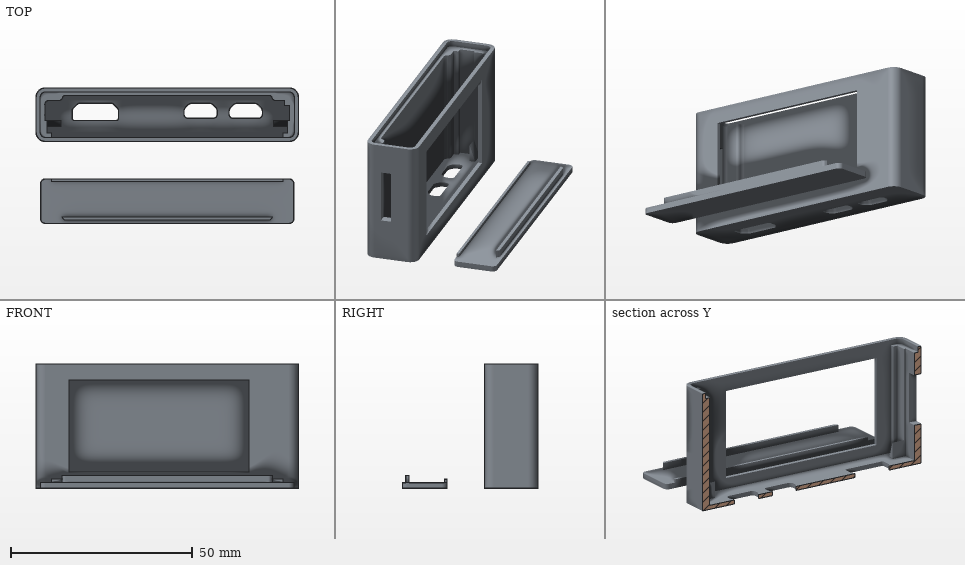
import cadquery as cq

HOUSING_LENGTH = 72.5
HOUSING_DEPTH = 14.85
HOUSING_HEIGHT = 34.35
HOUSING_CORNER_RADIUS = 2.6
OVERALL_DEPTH = 37.5
RIM_WALL = 1.15
FLOOR_THICKNESS = 1.3

LID_CLEARANCE = 0.11
LID_THICKNESS = 1.6
LID_FRONT_Y = HOUSING_DEPTH / 2 - OVERALL_DEPTH
RECESS_DEPTH = LID_THICKNESS
RECESS_LENGTH = HOUSING_LENGTH - 2 * RIM_WALL
RECESS_WIDTH = HOUSING_DEPTH - 2 * RIM_WALL
RECESS_CORNER_RADIUS = HOUSING_CORNER_RADIUS - RIM_WALL
LID_LENGTH = RECESS_LENGTH - 2 * LID_CLEARANCE
LID_WIDTH = RECESS_WIDTH - 2 * LID_CLEARANCE
LID_CORNER_RADIUS = RECESS_CORNER_RADIUS - LID_CLEARANCE

CAVITY_FRONT_Y = -RECESS_WIDTH / 2
CAVITY_BACK_Y = 5.4
SHOULDER_Y = 3.9
NOTCH_Y = 2.55
SLOT_BACK_Y = -1.7
SLOT_FRONT_Y = -5.0
BACK_HALF_WIDTH = 28.0
SHOULDER_HALF_WIDTH = 29.95
MAIN_HALF_WIDTH = 33.8
NOTCH_HALF_WIDTH = 32.3
SLOT_HALF_WIDTH = 33.2
FRONT_HALF_WIDTH = 31.9
CAVITY_CORNER_RADIUS = 1.0

WEDGE_LENGTH = 3.85
WEDGE_DEPTH = 1.6
WEDGE_HEIGHT = 3 * WEDGE_DEPTH

WINDOW_LEFT_X = -27.2
WINDOW_LENGTH = 49.8
WINDOW_BOTTOM_Z = 4.5
WINDOW_HEIGHT = 25.45
SIDE_OPENING_FRONT_Y = -0.15
SIDE_OPENING_WIDTH = 3.0
SIDE_OPENING_BOTTOM_Z = 11.6
SIDE_OPENING_HEIGHT = 14.6

PORT_BACK_Y = 3.1
EDGE_MARGIN = 0.1
LARGE_PORT_X = -19.85
LARGE_PORT_LENGTH = 12.7
LARGE_PORT_WIDTH = 4.7
LARGE_PORT_CHAMFER = 1.6
LARGE_PORT_BACK_RADIUS = 0.8
LARGE_PORT_FRONT_RADIUS = 0.6
SMALL_PORT_XS = (9.2, 21.7)
SMALL_PORT_LENGTH = 9.1
SMALL_PORT_WIDTH = 4.05
SMALL_PORT_CHAMFER = 1.5
SMALL_PORT_BACK_RADIUS = 1.6
SMALL_PORT_FRONT_RADIUS = 1.0

FRONT_RAIL_WIDTH = 0.95
FRONT_RAIL_HEIGHT = 2.0
REAR_RAIL_LENGTH = 63.8
REAR_RAIL_WIDTH = 0.7
REAR_RAIL_HEIGHT = 0.95


def box(x, y, z, length, width, height):
    """A box whose corner nearest to -X, -Y, -Z is at (x, y, z)."""
    return cq.Workplane("XY").box(length, width, height, centered=False).translate((x, y, z))


def rounded_plate(length, width, height, radius):
    """A plate centred on the Z axis, standing on Z = 0, with rounded vertical edges."""
    plate = cq.Workplane("XY").box(length, width, height, centered=(True, True, False))
    return plate.edges("|Z").fillet(radius)


def lid_recess():
    recess = rounded_plate(RECESS_LENGTH, RECESS_WIDTH, RECESS_DEPTH, RECESS_CORNER_RADIUS)
    return recess.translate((0, 0, HOUSING_HEIGHT - RECESS_DEPTH))


def cavity_outline():
    """Stepped outline whose back edge runs into the shoulders through an S-bend at both ends."""
    bend_x = (BACK_HALF_WIDTH + SHOULDER_HALF_WIDTH) / 2
    bend_y = (CAVITY_BACK_Y + SHOULDER_Y) / 2
    return (
        cq.Workplane("XY")
        .moveTo(-FRONT_HALF_WIDTH, CAVITY_FRONT_Y)
        .lineTo(FRONT_HALF_WIDTH, CAVITY_FRONT_Y)
        .lineTo(FRONT_HALF_WIDTH, SLOT_FRONT_Y)
        .lineTo(SLOT_HALF_WIDTH, SLOT_FRONT_Y)
        .lineTo(SLOT_HALF_WIDTH, SLOT_BACK_Y)
        .lineTo(MAIN_HALF_WIDTH, SLOT_BACK_Y)
        .lineTo(MAIN_HALF_WIDTH, NOTCH_Y)
        .lineTo(NOTCH_HALF_WIDTH, NOTCH_Y)
        .lineTo(NOTCH_HALF_WIDTH, SHOULDER_Y)
        .lineTo(SHOULDER_HALF_WIDTH, SHOULDER_Y)
        .tangentArcPoint((bend_x, bend_y), relative=False)
        .tangentArcPoint((BACK_HALF_WIDTH, CAVITY_BACK_Y), relative=False)
        .lineTo(-BACK_HALF_WIDTH, CAVITY_BACK_Y)
        .tangentArcPoint((-bend_x, bend_y), relative=False)
        .tangentArcPoint((-SHOULDER_HALF_WIDTH, SHOULDER_Y), relative=False)
        .lineTo(CAVITY_CORNER_RADIUS - MAIN_HALF_WIDTH, SHOULDER_Y)
        .tangentArcPoint((-MAIN_HALF_WIDTH, SHOULDER_Y - CAVITY_CORNER_RADIUS), relative=False)
        .lineTo(-MAIN_HALF_WIDTH, SLOT_BACK_Y)
        .lineTo(-SLOT_HALF_WIDTH, SLOT_BACK_Y)
        .lineTo(-SLOT_HALF_WIDTH, SLOT_FRONT_Y)
        .lineTo(-FRONT_HALF_WIDTH, SLOT_FRONT_Y)
        .close()
    )


def cavity():
    prism = cavity_outline().extrude(HOUSING_HEIGHT - FLOOR_THICKNESS)
    return prism.translate((0, 0, FLOOR_THICKNESS))


def wedge(start_x):
    """Wedge on the floor, high at the back of the slot and sloping down to the front."""
    return (
        cq.Workplane("YZ", origin=(start_x, SLOT_BACK_Y, FLOOR_THICKNESS))
        .lineTo(0, WEDGE_HEIGHT)
        .lineTo(-WEDGE_DEPTH, 0)
        .close()
        .extrude(WEDGE_LENGTH)
    )


def window():
    wall = CAVITY_FRONT_Y + HOUSING_DEPTH / 2
    return box(WINDOW_LEFT_X, -HOUSING_DEPTH / 2, WINDOW_BOTTOM_Z, WINDOW_LENGTH, wall, WINDOW_HEIGHT)


def side_opening():
    wall = HOUSING_LENGTH / 2 - MAIN_HALF_WIDTH
    return box(-HOUSING_LENGTH / 2, SIDE_OPENING_FRONT_Y, SIDE_OPENING_BOTTOM_Z,
               wall, SIDE_OPENING_WIDTH, SIDE_OPENING_HEIGHT)


def port(center_x, length, width, chamfer, back_radius, front_radius):
    """Port through the floor: chamfered and blended back corners, rounded front corners."""
    opening = box(center_x - length / 2, PORT_BACK_Y - width, 0, length, width, FLOOR_THICKNESS)
    opening = opening.edges("|Z and <Y").fillet(front_radius)
    opening = opening.edges("|Z and >Y").chamfer(chamfer)
    chamfer_start_y = PORT_BACK_Y - chamfer
    chamfer_edges = cq.selectors.BoxSelector(
        (center_x - length, chamfer_start_y - EDGE_MARGIN, -EDGE_MARGIN),
        (center_x + length, PORT_BACK_Y + EDGE_MARGIN, FLOOR_THICKNESS + EDGE_MARGIN),
    )
    return opening.edges("|Z").edges(chamfer_edges).fillet(back_radius)


def make_housing():
    body = rounded_plate(HOUSING_LENGTH, HOUSING_DEPTH, HOUSING_HEIGHT, HOUSING_CORNER_RADIUS)
    body = body.cut(lid_recess()).cut(cavity())
    for start_x in (-SLOT_HALF_WIDTH, SLOT_HALF_WIDTH - WEDGE_LENGTH):
        body = body.union(wedge(start_x))
    body = body.cut(window()).cut(side_opening())
    body = body.cut(port(LARGE_PORT_X, LARGE_PORT_LENGTH, LARGE_PORT_WIDTH,
                         LARGE_PORT_CHAMFER, LARGE_PORT_BACK_RADIUS, LARGE_PORT_FRONT_RADIUS))
    for center_x in SMALL_PORT_XS:
        body = body.cut(port(center_x, SMALL_PORT_LENGTH, SMALL_PORT_WIDTH,
                             SMALL_PORT_CHAMFER, SMALL_PORT_BACK_RADIUS, SMALL_PORT_FRONT_RADIUS))
    return body


def front_rail():
    """Rail that fits the back of the cavity, with a clearance, once the lid is turned over."""
    band = box(-SHOULDER_HALF_WIDTH, CAVITY_BACK_Y - LID_CLEARANCE - FRONT_RAIL_WIDTH, 0,
               2 * SHOULDER_HALF_WIDTH, FRONT_RAIL_WIDTH, FRONT_RAIL_HEIGHT)
    rail = cavity_outline().offset2D(-LID_CLEARANCE).extrude(FRONT_RAIL_HEIGHT).intersect(band)
    return rail.mirror("XZ").translate((0, LID_FRONT_Y + LID_WIDTH / 2, LID_THICKNESS))


def rear_rail():
    """Straight rail flush with the back edge of the lid."""
    return box(-REAR_RAIL_LENGTH / 2, LID_FRONT_Y + LID_WIDTH - REAR_RAIL_WIDTH, LID_THICKNESS,
               REAR_RAIL_LENGTH, REAR_RAIL_WIDTH, REAR_RAIL_HEIGHT)


def make_lid():
    plate = rounded_plate(LID_LENGTH, LID_WIDTH, LID_THICKNESS, LID_CORNER_RADIUS)
    plate = plate.translate((0, LID_FRONT_Y + LID_WIDTH / 2, 0))
    return plate.union(front_rail()).union(rear_rail())


housing = make_housing()
lid = make_lid()
result = cq.Compound.makeCompound([housing.val(), lid.val()])